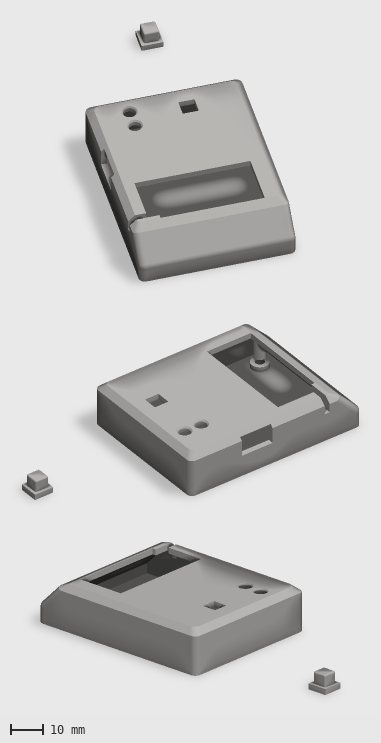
import cadquery as cq
import math

CASE_LENGTH = 66.0
CASE_WIDTH = 50.4
CASE_HEIGHT = 15.2
WALL = 2.0
CORNER_RADIUS = 2.0
TOP_BEVEL_RUN = 2.2
TOP_BEVEL_DROP = 2.0

RIGHT_WALL_HEIGHT = 6.2
SLOPE_RUN = CASE_HEIGHT - RIGHT_WALL_HEIGHT
SLOPE_TOP_X = CASE_LENGTH - SLOPE_RUN
SLOPE_TOP_BEVEL = 1.8

FRONT_Y = -CASE_WIDTH / 2
WINDOW_LEFT = 38.0
WINDOW_RIGHT = 54.9
WINDOW_FRONT = FRONT_Y + 5.8
WINDOW_BACK = FRONT_Y + 43.1
SLOT_LEFT = 51.7
SLOT_WIDTH = 1.9
SLOT_RIGHT = SLOT_LEFT + SLOT_WIDTH
SLOT_FLOOR = 10.2
SLOT_BACK = FRONT_Y + 9.6
BUTTON_HOLE_SIDE = 5.2
BUTTON_HOLE_LEFT = 7.1
BUTTON_Y = FRONT_Y + 31.0
LIGHT_HOLE_DIAMETER = 4.0
LIGHT_HOLE_RIM_DIAMETER = 5.0
LIGHT_HOLE_RIM_DEPTH = 0.5
LIGHT_HOLE_Y = FRONT_Y + 12.7
LIGHT_HOLE_XS = (7.0, 13.3)
PORT_LEFT = 19.8
PORT_LENGTH = 11.8
PORT_FLOOR = 7.6
PORT_TOP = 14.2

POST_X = 57.7
POST_Y = FRONT_Y + 42.3
POST_DIAMETER = 4.0
RING_DIAMETER = 6.2
RING_BORE = 3.2
RING_HEIGHT = 1.7
POST_GAP = 1.9

BASE_THICKNESS = 2.0

BUTTON_X = -36.3
FLANGE_SIDE = 7.0
FLANGE_HEIGHT = 2.0
CAP_SIDE = 5.0
BUTTON_HEIGHT = 6.0
CAP_ROUNDING = 0.5

TOLERANCE = 0.001


def box(x0, x1, y0, y1, z0, z1):
    """Box between opposite corners."""
    return cq.Workplane("XY").box(x1 - x0, y1 - y0, z1 - z0, centered=False).translate((x0, y0, z0))


def side_profile(points, y0, y1):
    """Prism of an X-Z outline that runs from y0 to y1."""
    return cq.Workplane("XZ", origin=(0, y1, 0)).polyline(points).close().extrude(y1 - y0)


def disc(diameter, x, y, z0, z1):
    """Upright cylinder."""
    return cq.Workplane("XY", origin=(x, y, z0)).circle(diameter / 2).extrude(z1 - z0)


def climbs(edge):
    """True for an edge whose two ends lie at different heights."""
    return abs(edge.endPoint().z - edge.startPoint().z) > TOLERANCE


def case_outline(inset, height):
    """Plan outline of the case with its two left corners rounded, drawn in at three sides."""
    left = inset
    half = CASE_WIDTH / 2 - inset
    arc_inset = CORNER_RADIUS * (1 - math.sqrt(0.5))
    return (
        cq.Workplane("XY", origin=(0, 0, height))
        .moveTo(CASE_LENGTH, -half)
        .lineTo(CASE_LENGTH, half)
        .lineTo(left + CORNER_RADIUS, half)
        .threePointArc((left + arc_inset, half - arc_inset), (left, half - CORNER_RADIUS))
        .lineTo(left, CORNER_RADIUS - half)
        .threePointArc((left + arc_inset, arc_inset - half), (left + CORNER_RADIUS, -half))
        .close()
    )


def case_block():
    """Solid case: bevelled on top, sloped at the right end, with rounded corners."""
    shoulder = CASE_HEIGHT - TOP_BEVEL_DROP
    lower = case_outline(0, 0).extrude(shoulder)
    shoulder_wire = case_outline(0, shoulder).wire().val()
    top_wire = case_outline(TOP_BEVEL_RUN, CASE_HEIGHT).wire().val()
    upper = cq.Workplane(cq.Solid.makeLoft([shoulder_wire, top_wire], True))
    slope_cut = side_profile(
        [(CASE_LENGTH, RIGHT_WALL_HEIGHT), (CASE_LENGTH, CASE_HEIGHT), (SLOPE_TOP_X, CASE_HEIGHT)],
        FRONT_Y,
        -FRONT_Y,
    )
    block = lower.union(upper).cut(slope_cut)
    block = block.edges("|Y").edges(">Z").edges(">X").chamfer(SLOPE_TOP_BEVEL)
    slope_foot = block.edges("|Y").edges(">X").edges(">Z").vals()
    right_edges = [edge for edge in block.edges().vals() if climbs(edge) and edge.Center().x > SLOT_RIGHT]
    return block.newObject(right_edges + slope_foot).fillet(CORNER_RADIUS)


def cavity():
    """Hollow of the case, open at the underside and sloped like the outside."""
    right = CASE_LENGTH - WALL
    ceiling = CASE_HEIGHT - WALL
    slope_sum = CASE_LENGTH + RIGHT_WALL_HEIGHT - WALL * math.sqrt(2)
    return side_profile(
        [
            (WALL, 0),
            (right, 0),
            (right, slope_sum - right),
            (slope_sum - ceiling, ceiling),
            (WALL, ceiling),
        ],
        FRONT_Y + WALL,
        -FRONT_Y - WALL,
    )


def openings():
    """Window, front slot, button hole and front port."""
    half_hole = BUTTON_HOLE_SIDE / 2
    plate_bottom = CASE_HEIGHT - WALL
    window = box(WINDOW_LEFT, SLOT_RIGHT, WINDOW_FRONT, WINDOW_BACK, plate_bottom, CASE_HEIGHT)
    window_right = box(SLOT_RIGHT, WINDOW_RIGHT, SLOT_BACK, WINDOW_BACK, SLOT_FLOOR, CASE_HEIGHT)
    slot = box(SLOT_LEFT, SLOT_RIGHT, FRONT_Y, SLOT_BACK, SLOT_FLOOR, CASE_HEIGHT)
    button_hole = box(
        BUTTON_HOLE_LEFT,
        BUTTON_HOLE_LEFT + BUTTON_HOLE_SIDE,
        BUTTON_Y - half_hole,
        BUTTON_Y + half_hole,
        plate_bottom,
        CASE_HEIGHT,
    )
    port = box(
        PORT_LEFT,
        PORT_LEFT + PORT_LENGTH,
        FRONT_Y,
        FRONT_Y + WALL,
        PORT_FLOOR,
        PORT_TOP,
    )
    return window.union(window_right).union(slot).union(button_hole).union(port)


def light_hole(x):
    """Round hole through the top with a conical rim."""
    rim_radius = LIGHT_HOLE_RIM_DIAMETER / 2
    hole_radius = LIGHT_HOLE_DIAMETER / 2
    rim_bottom = CASE_HEIGHT - LIGHT_HOLE_RIM_DEPTH
    plate_bottom = CASE_HEIGHT - WALL
    return (
        cq.Workplane("XZ")
        .polyline([
            (0, plate_bottom),
            (hole_radius, plate_bottom),
            (hole_radius, rim_bottom),
            (rim_radius, CASE_HEIGHT),
            (0, CASE_HEIGHT),
        ])
        .close()
        .revolve(360, (0, 0, 0), (0, 1, 0))
        .translate((x, LIGHT_HOLE_Y, 0))
    )


def post():
    """Round post that hangs from the slope, short of the ring."""
    ring_top = BASE_THICKNESS + RING_HEIGHT
    return disc(POST_DIAMETER, POST_X, POST_Y, ring_top + POST_GAP, CASE_HEIGHT)


def make_case():
    block = case_block()
    case = block.cut(cavity()).cut(openings())
    for x in LIGHT_HOLE_XS:
        case = case.cut(light_hole(x))
    return case.union(post().intersect(block))


def make_base():
    """Plate that closes the underside, with a bored ring below the post."""
    plate = box(WALL, CASE_LENGTH - WALL, FRONT_Y + WALL, -FRONT_Y - WALL, 0, BASE_THICKNESS)
    ring_top = BASE_THICKNESS + RING_HEIGHT
    ring = disc(RING_DIAMETER, POST_X, POST_Y, 0, ring_top)
    bore = disc(RING_BORE, POST_X, POST_Y, 0, ring_top)
    return plate.union(ring).cut(bore)


def make_button():
    """Square flange that carries a square cap with rounded edges."""
    flange = cq.Workplane("XY").box(FLANGE_SIDE, FLANGE_SIDE, FLANGE_HEIGHT, centered=(True, True, False))
    cap = (
        cq.Workplane("XY")
        .box(CAP_SIDE, CAP_SIDE, BUTTON_HEIGHT, centered=(True, True, False))
        .edges("|Z or >Z")
        .fillet(CAP_ROUNDING)
    )
    return flange.union(cap).translate((BUTTON_X, BUTTON_Y, 0))


case = make_case()
base = make_base()
button = make_button()

result = cq.Compound.makeCompound([case.val(), base.val(), button.val()])